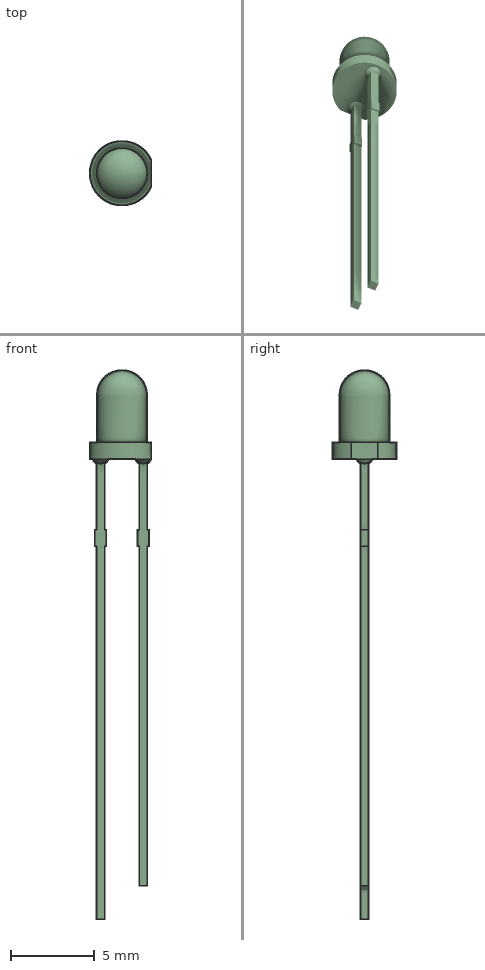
import cadquery as cq
import math

lens_diameter = 3.0
lens_radius = lens_diameter / 2
body_height = 5.3

flange_diameter = 3.84
flange_radius = flange_diameter / 2
flange_height = 1.0
flat_distance = 1.75

lead_pitch = 2.54
lead_width = 0.5
long_lead_length = 27.4
lead_length_difference = 2.0

stop_width = 0.7
stop_height = 1.0
stop_top_depth = 4.2

bead_radius = 0.5
bead_centre_height = 0.17


def make_lens():
    """Revolve the cylinder and its dome about Z."""
    shoulder_height = body_height - lens_radius
    dome_mid = lens_radius * math.sqrt(0.5)
    return (
        cq.Workplane("XZ")
        .lineTo(lens_radius, 0)
        .lineTo(lens_radius, shoulder_height)
        .threePointArc((dome_mid, shoulder_height + dome_mid), (0, body_height))
        .close()
        .revolve(360, (0, 0), (0, 1))
    )


def make_flange():
    """Disc cut off by the flat at +X."""
    disc = cq.Workplane("XY").circle(flange_radius).extrude(flange_height)
    kept_length = flange_radius + flat_distance
    kept_side = cq.Workplane("XY").box(
        kept_length,
        flange_diameter,
        flange_height,
        centered=(False, True, False),
    )
    return disc.intersect(kept_side.translate((-flange_radius, 0, 0)))


def hanging_bar(width, top_depth, length):
    """Bar of lead depth that starts top_depth below the flange and runs down."""
    return (
        cq.Workplane("XY")
        .workplane(offset=-top_depth)
        .rect(width, lead_width)
        .extrude(-length)
    )


def make_bead():
    """Spherical cap below the flange."""
    sphere = cq.Workplane("XY").sphere(bead_radius).translate((0, 0, bead_centre_height))
    bead_diameter = 2 * bead_radius
    space_below_flange = cq.Workplane("XY").rect(bead_diameter, bead_diameter).extrude(-bead_radius)
    return sphere.intersect(space_below_flange)


def make_lead(length):
    """Lead with its stop and bead, centred on Z and hanging below Z = 0."""
    wire = hanging_bar(lead_width, 0, length)
    stop = hanging_bar(stop_width, stop_top_depth, stop_height)
    return wire.union(stop).union(make_bead())


long_lead = make_lead(long_lead_length).translate((-lead_pitch / 2, 0, 0))
short_lead = make_lead(long_lead_length - lead_length_difference).translate((lead_pitch / 2, 0, 0))

result = make_lens().union(make_flange()).union(long_lead).union(short_lead)